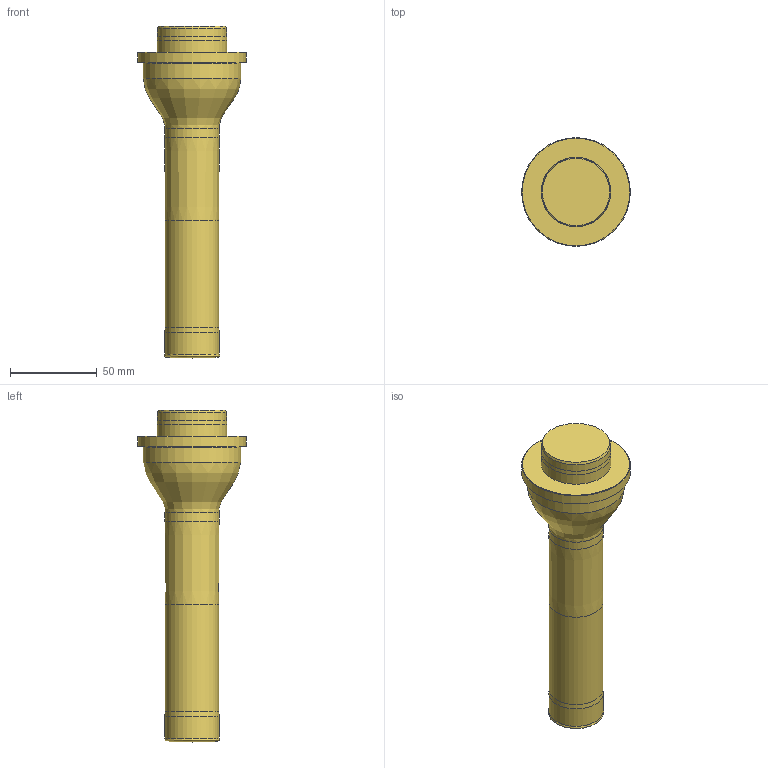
import cadquery as cq

stem_top_diameter = 39.7
stem_diameter = 39.99
flange_diameter = 62.5
collar_diameter = 56.0
neck_diameter = 31.2
shaft_diameter = 30.88
head_diameter = 31.2

total_height = 191.0
stem_taper_top = 185.0
stem_taper_bottom = 182.7
flange_top = 176.0
flange_bottom = 170.0
collar_bottom = 161.0
neck_top = 132.0
neck_bottom = 127.0
shaft_top = 79.0
shaft_bottom = 17.5
head_top = 14.5

stem_chamfer_width = 0.5
stem_chamfer_height = 1.4
flange_chamfer = 0.3
collar_fillet = 0.4

flare_upper_handle = 13.5
flare_lower_handle = 11.0

seam_height = 2.3
tip_bulge_radius = 16.7
tip_bulge_height = 0.3


def revolve_about_z(profile):
    return profile.close().revolve(360, (0, 0), (0, 1))


def make_body():
    stem_top_radius = stem_top_diameter / 2
    stem_radius = stem_diameter / 2
    flange_radius = flange_diameter / 2
    collar_radius = collar_diameter / 2
    neck_radius = neck_diameter / 2
    shaft_radius = shaft_diameter / 2
    head_radius = head_diameter / 2

    stem_and_flange = (
        cq.Workplane("XZ")
        .moveTo(0, total_height)
        .lineTo(stem_top_radius - stem_chamfer_width, total_height)
        .lineTo(stem_top_radius, total_height - stem_chamfer_height)
        .lineTo(stem_top_radius, stem_taper_top)
        .lineTo(stem_radius, stem_taper_bottom)
        .lineTo(stem_radius, flange_top)
        .lineTo(flange_radius - flange_chamfer, flange_top)
        .lineTo(flange_radius, flange_top - flange_chamfer)
        .lineTo(flange_radius, flange_bottom)
    )
    collar_and_flare = (
        stem_and_flange.lineTo(collar_radius + collar_fillet, flange_bottom)
        .radiusArc((collar_radius, flange_bottom - collar_fillet), -collar_fillet)
        .lineTo(collar_radius, collar_bottom)
        .bezier(
            [
                (collar_radius, collar_bottom),
                (collar_radius, collar_bottom - flare_upper_handle),
                (neck_radius, neck_top + flare_lower_handle),
                (neck_radius, neck_top),
            ]
        )
    )
    shaft_and_head = (
        collar_and_flare.lineTo(neck_radius, neck_bottom)
        .lineTo(shaft_radius, shaft_top)
        .lineTo(shaft_radius, shaft_bottom)
        .lineTo(head_radius, head_top)
        .lineTo(head_radius, seam_height)
        .lineTo(0, seam_height)
    )
    return revolve_about_z(shaft_and_head)


def make_tip():
    head_radius = head_diameter / 2
    profile = (
        cq.Workplane("XZ")
        .moveTo(0, 0)
        .bezier(
            [
                (0, 0),
                (tip_bulge_radius, 0),
                (tip_bulge_radius, tip_bulge_height),
                (head_radius, seam_height),
            ]
        )
        .lineTo(0, seam_height)
    )
    return revolve_about_z(profile)


body = make_body()
tip = make_tip()

result = cq.Compound.makeCompound([body.val(), tip.val()])